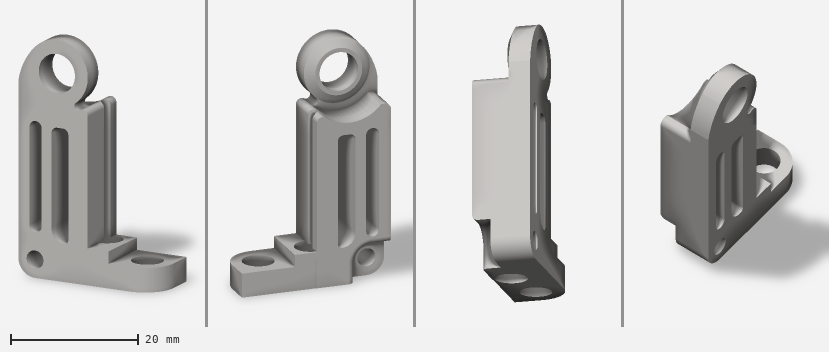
import cadquery as cq
import math

length = 24.95
depth = 9.5
column_width = 12.4
foot_depth = 9.45
foot_height = 4.0
shoulder_height = 6.0
shoulder_end = 16.08
foot_corner_radius = 5.0

plate_depth = 3.55
ring_radius = 5.5
ring_x = column_width - ring_radius
ring_z = 39.3 - ring_radius
ring_bore_radius = 3.22
cone_end_depth = 4.52
cone_end_radius = 3.95
shoulder_arc_radius = 10.55
shoulder_arc_bottom = 31.72
shoulder_arc_angle = math.radians(135)

clearance_radius = 6.85
channel_angle = math.radians(-52)
lip_radius = 0.9
block_top = 29.4
block_corner_radius = 1.0

pivot = 3.0
pivot_bore_radius = 1.5
recess_radius = 3.2
recess_depth_start = 6.5
recess_flare = 1.0
rim_margin = 0.05

screw_radius = 2.6
outer_screw = (20.5, 4.75)
inner_screw = (column_width, 6.5)
groove_radius = 1.02

narrow_slot_left = 2.0
narrow_slot_right = 4.15
narrow_slot_bottom = 7.45
narrow_slot_top = 25.6
wide_slot_left = 5.95
wide_slot_right = 8.92
wide_slot_bottom = 6.2
wide_slot_top = 25.0
wide_slot_top_radius = 1.0
wide_slot_large_radius = 2.25
wide_slot_small_radius = 0.7


def front_plane(y):
    """Sketch plane seen from the front; extruding by -d goes d deeper in +Y."""
    return cq.Workplane("XZ", origin=(0, y, 0))


def on_ring(radius, angle):
    """Point at a distance and angle from the ring centre."""
    return (ring_x + radius * math.cos(angle), ring_z + radius * math.sin(angle))


def cylinder_y(x, z, radius, y_start, y_end):
    return front_plane(y_start).center(x, z).circle(radius).extrude(y_start - y_end)


def cylinder_z(center, radius, height):
    return cq.Workplane("XY").center(*center).circle(radius).extrude(height)


lip_x = column_width - lip_radius
lip_angle = -math.acos((lip_x - ring_x) / (clearance_radius + lip_radius))
lip_z = on_ring(clearance_radius + lip_radius, lip_angle)[1]
lip_start = on_ring(clearance_radius, lip_angle)
lip_side = (column_width, lip_z)
lip_mid_angle = (math.pi + lip_angle) / 2
lip_mid = (
    lip_x + lip_radius * math.cos(lip_mid_angle),
    lip_z + lip_radius * math.sin(lip_mid_angle),
)


def make_plate():
    channel_mid_radius = (ring_radius + clearance_radius) / 2
    ring_left = on_ring(ring_radius, shoulder_arc_angle)
    ring_mid_angle = (shoulder_arc_angle + channel_angle) / 2
    ring_end = on_ring(ring_radius, channel_angle)
    channel_end = on_ring(clearance_radius, channel_angle)
    channel_radius = (clearance_radius - ring_radius) / 2
    channel_center = on_ring(channel_mid_radius, channel_angle)
    channel_mid = (
        channel_center[0] + channel_radius * math.sin(channel_angle),
        channel_center[1] - channel_radius * math.cos(channel_angle),
    )
    return (
        front_plane(0)
        .moveTo(0, 0)
        .lineTo(0, shoulder_arc_bottom)
        .radiusArc(ring_left, shoulder_arc_radius)
        .threePointArc(on_ring(ring_radius, ring_mid_angle), ring_end)
        .threePointArc(channel_mid, channel_end)
        .threePointArc(on_ring(clearance_radius, (channel_angle + lip_angle) / 2), lip_start)
        .threePointArc(lip_mid, lip_side)
        .lineTo(column_width, 0)
        .close()
        .extrude(-plate_depth)
    )


def make_block():
    saddle_left = ring_x - math.sqrt(clearance_radius**2 - (ring_z - block_top) ** 2)
    return (
        front_plane(plate_depth)
        .moveTo(0, 0)
        .lineTo(0, block_top - block_corner_radius)
        .radiusArc((block_corner_radius, block_top), block_corner_radius)
        .lineTo(saddle_left, block_top)
        .threePointArc(on_ring(clearance_radius, math.radians(-90)), lip_start)
        .threePointArc(lip_mid, lip_side)
        .lineTo(column_width, 0)
        .close()
        .extrude(plate_depth - depth)
    )


def make_foot():
    foot_start = 2 * pivot
    foot = (
        cq.Workplane("XY")
        .box(length - foot_start, foot_depth, foot_height, centered=False)
        .translate((foot_start, 0, 0))
        .edges("|Z and >X and <Y")
        .fillet(foot_corner_radius)
    )
    shoulder = (
        cq.Workplane("XY")
        .box(shoulder_end - foot_start, foot_depth, shoulder_height, centered=False)
        .translate((foot_start, 0, 0))
    )
    return foot.union(shoulder)


def make_ring_cone():
    return (
        front_plane(plate_depth)
        .center(ring_x, ring_z)
        .circle(ring_radius)
        .workplane(offset=plate_depth - cone_end_depth)
        .circle(cone_end_radius)
        .loft()
    )


def make_slots():
    narrow = (
        front_plane(0)
        .center((narrow_slot_left + narrow_slot_right) / 2, (narrow_slot_bottom + narrow_slot_top) / 2)
        .slot2D(narrow_slot_top - narrow_slot_bottom, narrow_slot_right - narrow_slot_left, 90)
        .extrude(-depth)
    )
    wide = (
        cq.Workplane("XY")
        .box(wide_slot_right - wide_slot_left, depth, wide_slot_top - wide_slot_bottom, centered=False)
        .translate((wide_slot_left, 0, wide_slot_bottom))
        .edges("|Y and >Z")
        .fillet(wide_slot_top_radius)
        .edges("|Y and <Z and <X")
        .fillet(wide_slot_large_radius)
        .edges("|Y and <Z and >X")
        .fillet(wide_slot_small_radius)
    )
    return narrow.union(wide)


def make_pivot_recess():
    """Round-cornered recess about the pivot, open to the left and below."""
    margin = recess_radius
    size = pivot + recess_radius + margin
    recess_length = depth - recess_depth_start
    return (
        cq.Workplane("XY")
        .box(size, recess_length, size, centered=False)
        .translate((-margin, recess_depth_start, -margin))
        .edges("|Y and >X and >Z")
        .fillet(recess_radius)
    )


def flare_recess(part):
    """Round the rim where the recess meets the back of the column."""
    rim_end = pivot + recess_radius
    rim = cq.selectors.BoxSelector(
        (rim_margin, depth - rim_margin, rim_margin),
        (rim_end + rim_margin, depth + rim_margin, rim_end + rim_margin),
    )
    return part.edges(rim).fillet(recess_flare)


body = make_plate().union(make_block()).union(make_foot())
body = body.edges(cq.selectors.NearestToPointSelector((0, depth / 2, 0))).fillet(pivot)
body = flare_recess(body.cut(make_pivot_recess()))
body = body.union(make_ring_cone())
body = body.cut(cylinder_y(ring_x, ring_z, ring_bore_radius, 0, cone_end_depth))
body = body.cut(cylinder_y(pivot, pivot, pivot_bore_radius, 0, depth))
body = body.cut(make_slots())
body = body.cut(cylinder_z(outer_screw, screw_radius, foot_height))
body = body.cut(cylinder_z(inner_screw, screw_radius, shoulder_height))
body = body.cut(cylinder_z(inner_screw, groove_radius, block_top))

result = body